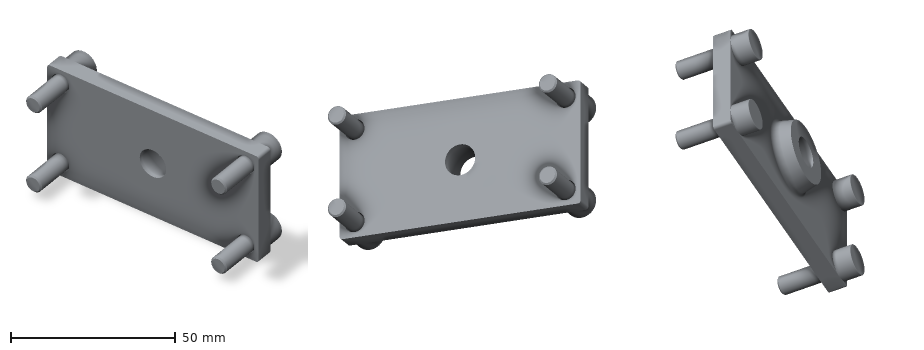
import cadquery as cq

plate_length = 80.0
plate_height = 40.0
plate_thickness = 6.0
plate_corner_radius = 1.0

boss_height = 5.8
boss_base_diameter = 23.7
boss_top_diameter = 20.9
boss_foot_radius = 1.0
bore_diameter = 10.0

screw_diameter = 6.0
screw_length = 20.0
screw_tip_chamfer = 0.5
head_diameter = 10.0
head_height = 6.0
head_edge_radius = 0.2
clearance_diameter = 6.6
screw_spacing_x = plate_length - head_diameter
screw_spacing_z = plate_height - head_diameter

screw_places = [
    (side_x * screw_spacing_x / 2, side_z * screw_spacing_z / 2)
    for side_x in (-1, 1)
    for side_z in (-1, 1)
]


def y_plane(y):
    """Sketch plane at the given Y, facing +Y, with local axes -X and Z."""
    return cq.Workplane(cq.Plane(origin=(0, y, 0), xDir=(-1, 0, 0), normal=(0, 1, 0)))


def make_boss():
    """Tapered round boss rising from the back of the plate."""
    return (
        y_plane(plate_thickness)
        .circle(boss_base_diameter / 2)
        .workplane(offset=boss_height)
        .circle(boss_top_diameter / 2)
        .loft(ruled=True)
    )


def make_plate():
    """Plate with rounded corners, filleted central boss and bore, and screw holes."""
    block = (
        y_plane(0)
        .rect(plate_length, plate_height)
        .extrude(plate_thickness)
        .edges("|Y")
        .fillet(plate_corner_radius)
    )
    bore = y_plane(0).circle(bore_diameter / 2).extrude(plate_thickness + boss_height)
    screw_holes = (
        y_plane(0).pushPoints(screw_places).circle(clearance_diameter / 2).extrude(plate_thickness)
    )
    boss_foot = cq.selectors.RadiusNthSelector(-1)
    body = block.union(make_boss()).edges(boss_foot).fillet(boss_foot_radius)
    return body.cut(bore).cut(screw_holes)


def make_screw(x, z):
    """Cap screw seated on the back of the plate, its shank pointing to -Y."""
    head = (
        y_plane(plate_thickness)
        .circle(head_diameter / 2)
        .extrude(head_height)
        .faces(">Y")
        .edges()
        .fillet(head_edge_radius)
    )
    shank = (
        y_plane(plate_thickness)
        .circle(screw_diameter / 2)
        .extrude(-screw_length)
        .faces("<Y")
        .edges()
        .chamfer(screw_tip_chamfer)
    )
    return head.union(shank).translate((x, 0, z))


plate = make_plate()
screws = [make_screw(x, z) for x, z in screw_places]

result = cq.Compound.makeCompound([plate.val(), *[screw.val() for screw in screws]])